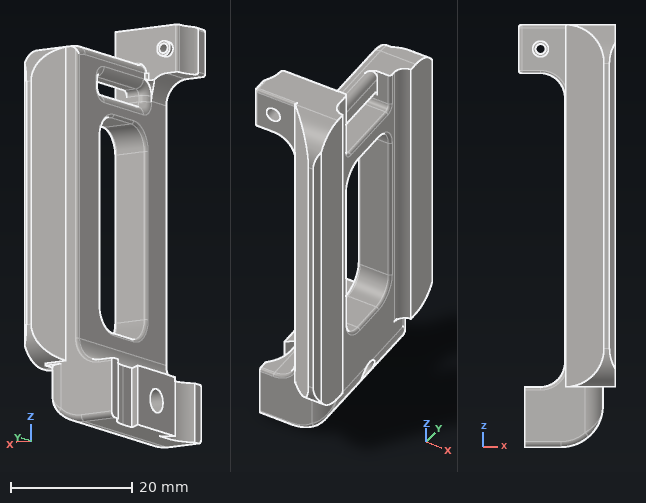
import cadquery as cq
import math

HEIGHT = 69.75
BACK_X = 16.0
WING_SPAN = 38.0
WING_HALF_SPAN = WING_SPAN / 2
EDGE = 0.5
ROUND = 1.5

BODY_FRONT_X = 7.6
BODY_BACK_X = 13.95
BODY_MIN_Y = -12.7
BODY_MAX_Y = 14.85
BODY_MID_Y = (BODY_MIN_Y + BODY_MAX_Y) / 2
BODY_MID_Z = HEIGHT / 2
LOW_TOP_Z = 63.6
COVE_D = 8.0
COVE_R = COVE_D / 2

CHANNEL_DEPTH = BACK_X - BODY_BACK_X
WING_CHAMFER = 1.0
WING_TIP_FLAT = 0.9
WING_CORNER_R = 6.35
CHANNEL_HALF_WIDTH = 11.0

OPENING_Y = 0.85
OPENING_WIDTH = 14.0
OPENING_MIN_Y = OPENING_Y - OPENING_WIDTH / 2
OPENING_MAX_Y = OPENING_Y + OPENING_WIDTH / 2
WINDOW_HEIGHT = 36.3
WINDOW_BOTTOM_Z = BODY_MID_Z - WINDOW_HEIGHT / 2
WINDOW_TOP_Z = BODY_MID_Z + WINDOW_HEIGHT / 2
WINDOW_R = 4.0
SLOT_HEIGHT = 3.0
SLOT_Z = 58.0
SLOT_FLOOR_Z = SLOT_Z - SLOT_HEIGHT / 2
SLOT_R = 1.0
BAR_BACK_X = 11.45

HEAD_HEIGHT = 8.0
HEAD_BOTTOM_Z = HEIGHT - HEAD_HEIGHT
HEAD_MAX_Y = OPENING_MIN_Y
HEAD_RECESS = 1.45
GROOVE_R = 6.4
PIN_X = 3.6
PIN_Z = HEIGHT - HEAD_HEIGHT / 2
PIN_D = 2.5
PIN_LENGTH = 1.0
PILOT_D = 1.6
SOCKET_D = 2.6
SOCKET_DEPTH = 4.0

FOOT_TOP_Z = 10.0
FOOT_FRONT_X = 1.0
FOOT_HEEL_R = 7.0
FOOT_BACK_R = 3.0
FOOT_EDGE = 1.0
FOOT_HOLE_D = 4.0
GROOVE_DEPTH = 2.1
GROOVE_INNER = 7.05
DOVETAIL_FACE = 5.7
DOVETAIL_ROOT = 4.25

MARGIN = 3.5
SELECT_TOLERANCE = 0.1


def box(x0, x1, y0, y1, z0, z1):
    return cq.Workplane("XY").box(x1 - x0, y1 - y0, z1 - z0, centered=False).translate((x0, y0, z0))


def in_box(low, high):
    """Selector for the edges lying wholly between two corner points."""
    reach_low = tuple(value - SELECT_TOLERANCE for value in low)
    reach_high = tuple(value + SELECT_TOLERANCE for value in high)
    return cq.selectors.BoxSelector(reach_low, reach_high, boundingbox=True)


def bar_along_x(x0, x1, y0, y1, z0, z1, corner):
    return box(x0, x1, y0, y1, z0, z1).edges("|X").fillet(corner)


def cylinder_along(plane, centre, diameter, length):
    return cq.Workplane(plane, origin=centre).circle(diameter / 2).extrude(length)


def outline():
    """Silhouette seen along X: rounded wing corners and a top stepped down beside the head."""
    span, corner = WING_HALF_SPAN, WING_CORNER_R
    return (
        cq.Workplane("YZ")
        .moveTo(-span, FOOT_TOP_Z + corner)
        .lineTo(-span, HEIGHT - corner)
        .radiusArc((-span + corner, HEIGHT), corner)
        .lineTo(HEAD_MAX_Y, HEIGHT)
        .lineTo(HEAD_MAX_Y, LOW_TOP_Z + EDGE)
        .radiusArc((HEAD_MAX_Y + EDGE, LOW_TOP_Z), -EDGE)
        .lineTo(span - corner, LOW_TOP_Z)
        .radiusArc((span, LOW_TOP_Z - corner), corner)
        .lineTo(span, FOOT_TOP_Z + corner)
        .radiusArc((span - corner, FOOT_TOP_Z), corner)
        .lineTo(-span + corner, FOOT_TOP_Z)
        .radiusArc((-span, FOOT_TOP_Z + corner), corner)
        .close()
        .extrude(BACK_X)
    )


def wing(side):
    """One wing as a column along Z: 45 degree bevel in front, chamfered tip, rounded side to the channel."""
    tip_x = BACK_X - WING_CHAMFER - WING_TIP_FLAT
    bevel_run = WING_HALF_SPAN + BODY_MIN_Y
    root_x = tip_x - bevel_run
    channel_floor_y = CHANNEL_HALF_WIDTH - CHANNEL_DEPTH
    return (
        cq.Workplane("XY")
        .moveTo(BODY_BACK_X, side * channel_floor_y)
        .radiusArc((BACK_X, side * CHANNEL_HALF_WIDTH), side * CHANNEL_DEPTH)
        .lineTo(BACK_X, side * (WING_HALF_SPAN - WING_CHAMFER))
        .lineTo(BACK_X - WING_CHAMFER, side * WING_HALF_SPAN)
        .lineTo(tip_x, side * WING_HALF_SPAN)
        .lineTo(root_x, side * (WING_HALF_SPAN - bevel_run))
        .lineTo(root_x + EDGE, side * CHANNEL_HALF_WIDTH)
        .lineTo(BODY_BACK_X - CHANNEL_DEPTH, side * channel_floor_y)
        .close()
        .extrude(HEIGHT)
    )


def head_groove():
    """Cutter for the rounded relief on the inner front corner of the head."""
    run = math.sqrt(GROOVE_R ** 2 - (GROOVE_R - HEAD_RECESS) ** 2)
    return (
        cq.Workplane("XY", origin=(0, 0, HEAD_BOTTOM_Z - MARGIN))
        .moveTo(0, HEAD_MAX_Y - run)
        .radiusArc((HEAD_RECESS, HEAD_MAX_Y), -GROOVE_R)
        .lineTo(HEAD_RECESS, HEAD_MAX_Y + MARGIN)
        .lineTo(-MARGIN, HEAD_MAX_Y + MARGIN)
        .lineTo(-MARGIN, HEAD_MAX_Y - run)
        .close()
        .extrude(HEAD_HEIGHT + 2 * MARGIN)
    )


def spine():
    """Head, body and top of the foot: a C-shaped side profile with rounded front edges."""
    solid = (
        cq.Workplane("XZ", origin=(0, BODY_MAX_Y, 0))
        .moveTo(BODY_BACK_X, FOOT_TOP_Z)
        .lineTo(BODY_BACK_X, HEIGHT)
        .lineTo(0, HEIGHT)
        .lineTo(0, HEAD_BOTTOM_Z)
        .lineTo(BODY_FRONT_X - COVE_R, HEAD_BOTTOM_Z)
        .radiusArc((BODY_FRONT_X, HEAD_BOTTOM_Z - COVE_R), COVE_R)
        .lineTo(BODY_FRONT_X, FOOT_TOP_Z + COVE_R)
        .radiusArc((BODY_FRONT_X - COVE_R, FOOT_TOP_Z), COVE_R)
        .lineTo(FOOT_FRONT_X, FOOT_TOP_Z)
        .lineTo(FOOT_FRONT_X, FOOT_TOP_Z / 2)
        .lineTo(BODY_FRONT_X, FOOT_TOP_Z / 2)
        .lineTo(BODY_FRONT_X, FOOT_TOP_Z)
        .close()
        .extrude(BODY_MAX_Y - BODY_MIN_Y)
    )
    solid = solid.cut(box(-MARGIN, BODY_FRONT_X, HEAD_MAX_Y, BODY_MAX_Y + MARGIN,
                          BODY_MID_Z, HEIGHT + MARGIN))
    solid = solid.cut(head_groove())
    solid = solid.edges(in_box((0, BODY_MAX_Y, FOOT_TOP_Z), (BODY_FRONT_X, BODY_MAX_Y, HEIGHT))).fillet(EDGE)
    front_edges = in_box((0, BODY_MIN_Y, FOOT_TOP_Z), (BODY_FRONT_X, BODY_MIN_Y, HEIGHT))
    top_edge = in_box((0, BODY_MIN_Y, HEIGHT), (BODY_BACK_X, BODY_MIN_Y, HEIGHT))
    face_edges = in_box((0, BODY_MIN_Y, HEAD_BOTTOM_Z), (0, HEAD_MAX_Y, HEAD_BOTTOM_Z))
    face_top = in_box((0, BODY_MIN_Y, HEIGHT), (0, HEAD_MAX_Y, HEIGHT))
    inner_corner = in_box((HEAD_RECESS, HEAD_MAX_Y, HEAD_BOTTOM_Z), (HEAD_RECESS, HEAD_MAX_Y, HEIGHT))
    return solid.edges(front_edges + top_edge + face_edges + face_top + inner_corner).fillet(EDGE)


def foot():
    blank = box(FOOT_FRONT_X, BODY_BACK_X, BODY_MIN_Y, BODY_MAX_Y, 0, FOOT_TOP_Z)
    heel = blank.faces(">X").edges("<Z").fillet(FOOT_HEEL_R)
    solid = heel.intersect(blank.edges("|Z and >X").fillet(FOOT_BACK_R))
    solid = solid.faces("<Z").edges("|X").fillet(FOOT_EDGE)
    return solid.cut(box(0, BODY_FRONT_X, BODY_MIN_Y, BODY_MAX_Y, FOOT_TOP_Z / 2, FOOT_TOP_Z))


def foot_grooves():
    """Cutter leaving a dovetail on the front of the foot between two rounded grooves."""
    root_x = FOOT_FRONT_X + GROOVE_DEPTH
    run = math.sqrt(GROOVE_R ** 2 - (GROOVE_R - GROOVE_DEPTH) ** 2)
    cutter = cq.Workplane("XY")
    for side in (-1, 1):
        groove = (
            cq.Workplane("XY", origin=(0, BODY_MID_Y, -MARGIN))
            .moveTo(FOOT_FRONT_X, side * DOVETAIL_FACE)
            .lineTo(root_x, side * DOVETAIL_ROOT)
            .lineTo(root_x, side * GROOVE_INNER)
            .radiusArc((FOOT_FRONT_X, side * (GROOVE_INNER + run)), -side * GROOVE_R)
            .lineTo(0, side * (GROOVE_INNER + run))
            .lineTo(0, side * DOVETAIL_FACE)
            .close()
            .extrude(FOOT_TOP_Z + 2 * MARGIN)
        )
        cutter = cutter.add(groove)
    return cutter.combine()


def flared_opening(height, z, corner, lip):
    """Cutter for a rounded rectangular hole through the body whose front mouth is rounded by lip."""
    y0, y1 = OPENING_MIN_Y, OPENING_MAX_Y
    z0, z1 = z - height / 2, z + height / 2
    hole = bar_along_x(BODY_FRONT_X, BODY_BACK_X, y0, y1, z0, z1, corner)
    frame = box(BODY_FRONT_X, BODY_BACK_X, y0 - MARGIN, y1 + MARGIN, z0 - MARGIN, z1 + MARGIN)
    rounded = frame.cut(hole).faces("<X").edges(in_box((0, y0, z0), (BACK_X, y1, z1))).fillet(lip)
    mouth = bar_along_x(BODY_FRONT_X - COVE_R, BODY_FRONT_X,
                        y0 - lip, y1 + lip, z0 - lip, z1 + lip, corner + lip)
    return frame.cut(rounded).union(mouth)


def strap_pocket():
    """Cutter behind the strap bar, from the floor of the slot up past the body's top."""
    y1 = OPENING_MAX_Y
    pocket = box(BAR_BACK_X, BACK_X, HEAD_MAX_Y, y1, SLOT_FLOOR_Z, HEIGHT)
    pocket = pocket.edges("|X and <Z").fillet(SLOT_R)
    bar_front = BAR_BACK_X - ROUND
    bar = box(bar_front - MARGIN, BAR_BACK_X, HEAD_MAX_Y, y1, LOW_TOP_Z - MARGIN, LOW_TOP_Z)
    rounded = bar.edges(">X and >Z").fillet(ROUND)
    run_out = box(bar_front, BACK_X, HEAD_MAX_Y - MARGIN, y1, LOW_TOP_Z - MARGIN, HEIGHT)
    run_out = run_out.edges("|Z and <X and >Y").fillet(ROUND)
    return pocket.union(bar.cut(rounded).intersect(run_out))


def head_gusset():
    """Small concave fillet between the inner face of the head and the front of the body."""
    return (
        cq.Workplane("XY", origin=(0, 0, SLOT_Z))
        .moveTo(BODY_FRONT_X - EDGE, HEAD_MAX_Y)
        .radiusArc((BODY_FRONT_X, HEAD_MAX_Y + EDGE), EDGE)
        .lineTo(BODY_FRONT_X + EDGE, HEAD_MAX_Y)
        .close()
        .extrude(LOW_TOP_Z - ROUND - SLOT_Z)
    )


def top_rounding():
    """Cutter that rounds the front of the body's top edge beside the head."""
    slab = outline().intersect(box(BODY_FRONT_X, BODY_BACK_X, -WING_HALF_SPAN, WING_HALF_SPAN, 0, HEIGHT))
    rim = slab.cut(slab.faces("<X").edges().fillet(ROUND))
    return rim.intersect(box(BODY_FRONT_X, BODY_BACK_X, HEAD_MAX_Y, BODY_MAX_Y, SLOT_Z, HEIGHT))


wings = wing(1).union(wing(-1)).intersect(outline())
spine_limits = outline().union(box(0, BODY_BACK_X, BODY_MIN_Y, BODY_MAX_Y, 0, BODY_MID_Z))
result = spine().intersect(spine_limits).union(wings)
result = result.cut(top_rounding())
result = result.union(foot()).union(head_gusset())
result = result.cut(foot_grooves())

result = result.cut(flared_opening(WINDOW_HEIGHT, BODY_MID_Z, WINDOW_R, EDGE))
result = result.cut(flared_opening(SLOT_HEIGHT, SLOT_Z, SLOT_R, ROUND))
result = result.cut(strap_pocket())
pocket_rim = in_box((BODY_BACK_X, HEAD_MAX_Y, SLOT_FLOOR_Z), (BODY_BACK_X, OPENING_MAX_Y, SLOT_Z))
window_rim = in_box((BODY_BACK_X, OPENING_MIN_Y, WINDOW_BOTTOM_Z), (BODY_BACK_X, OPENING_MAX_Y, WINDOW_TOP_Z))
result = result.edges(pocket_rim + window_rim).fillet(EDGE)

result = result.union(cylinder_along("XZ", (PIN_X, HEAD_MAX_Y + PIN_LENGTH, PIN_Z), PIN_D, 2 * PIN_LENGTH))
result = result.cut(cylinder_along("XZ", (PIN_X, 0, PIN_Z), PILOT_D, WING_HALF_SPAN))
result = result.cut(cylinder_along("XZ", (PIN_X, BODY_MIN_Y + SOCKET_DEPTH, PIN_Z), SOCKET_D, SOCKET_DEPTH))

result = result.cut(cylinder_along("YZ", (0, BODY_MID_Y, FOOT_TOP_Z / 2), FOOT_HOLE_D, BACK_X))